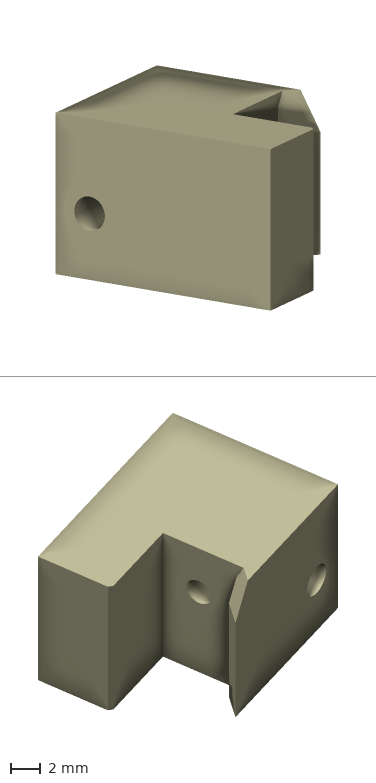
import cadquery as cq

length = 16.92
depth = 13.21
height = 11.35

body_length = 10.42
arm_depth = 5.85
arm_chamfer = 0.27

hook_reach = 2.45
hook_depth = 1.44
bevel_reach = 1.55
bevel_drop = 2.7

cross_hole_diameter = 2.4
cross_hole_x = 2.67
cross_hole_z = 4.65
long_hole_diameter = 2.0
long_hole_y = 8.73
long_hole_z = 7.36


def make_body():
    """L-shaped block with the inner corner of the arm tip chamfered."""
    outline = [
        (0, 0),
        (length, 0),
        (length, arm_depth - arm_chamfer),
        (length - arm_chamfer, arm_depth),
        (body_length, arm_depth),
        (body_length, depth),
        (0, depth),
    ]
    return cq.Workplane("XY").polyline(outline).close().extrude(height)


def make_hook():
    """Full-height hook whose 45 degree flank slopes back near the top."""
    tip_x = body_length + hook_reach
    front_y = depth - hook_depth
    outline = [
        (body_length, front_y),
        (tip_x - hook_depth, front_y),
        (tip_x, depth),
        (body_length, depth),
    ]
    hook = cq.Workplane("XY").polyline(outline).close().extrude(height)

    bevel_profile = [
        (tip_x, depth, height - bevel_drop),
        (tip_x, depth, height),
        (tip_x - bevel_reach, depth, height),
    ]
    wire = cq.Wire.makePolygon([cq.Vector(*point) for point in bevel_profile], close=True)
    sweep = cq.Vector(-hook_depth, -hook_depth, 0)
    bevel = cq.Solid.extrudeLinear(wire, [], sweep)
    return hook.cut(cq.Workplane(obj=bevel))


def make_cross_hole():
    """Hole along Y through the body."""
    profile = cq.Workplane("XZ").center(cross_hole_x, cross_hole_z).circle(cross_hole_diameter / 2)
    return profile.extrude(-depth)


def make_long_hole():
    """Hole along X through the body, opening into the notch."""
    profile = cq.Workplane("YZ").center(long_hole_y, long_hole_z).circle(long_hole_diameter / 2)
    return profile.extrude(body_length)


result = make_body().union(make_hook()).cut(make_cross_hole()).cut(make_long_hole())